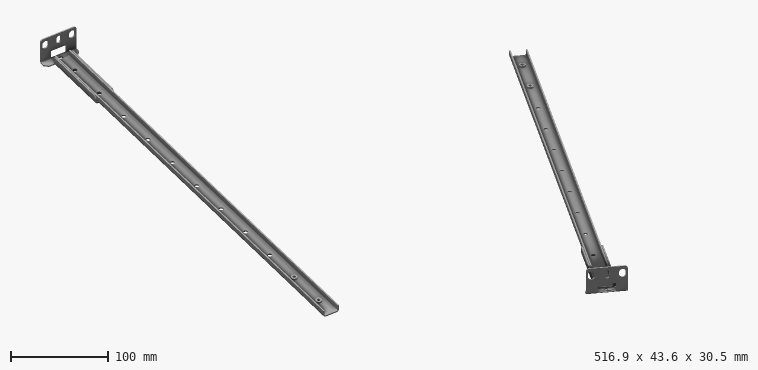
import cadquery as cq

rail_length = 508.0
rail_width = 19.05
rail_height = 8.3
rail_thickness = 1.524
rail_bend_radius = 3.048
rail_end_gap = 8.86

hole_diameter = 4.78
hole_pitch = 46.05
hole_count = 11
nut_count = 2

nut_head_diameter = 7.11
nut_head_height = 2.0
nut_bore = 3.5

sheet_thickness = 1.5
bracket_bend_radius = 3.048
plate_width = 43.64
plate_height = 30.48
plate_corner_radius = 3.2
flange_depth = 10.6
flange_corner_chamfer = 4.2
cradle_clearance = 0.4
cradle_end = 88.6
cradle_wall_start = 11.1
cradle_wall_chamfer = 2.5
flange_hole_x = 6.35

slot_length = 9.4
slot_z = 22.4
side_slot_width = 7.11
side_slot_y = 16.3
window_top = 11.2
window_bottom = 1.9

rail_bottom = sheet_thickness
rail_floor = rail_bottom + rail_thickness
hole_end_distance = (rail_length - (hole_count - 1) * hole_pitch) / 2
rail_top = rail_bottom + rail_height
cradle_width = rail_width + 2 * (sheet_thickness + cradle_clearance)
hole_x = [rail_end_gap + hole_end_distance + i * hole_pitch for i in range(hole_count)]
nut_x = hole_x[-nut_count:]


def channel(x_start, x_end, width, bottom, height, thickness, bend_radius):
    """U channel along X, open upwards, with both lower edges bent round."""
    length = x_end - x_start
    middle = (x_start + x_end) / 2
    outside = (
        cq.Workplane("XY", origin=(middle, 0, bottom))
        .box(length, width, height, centered=(True, True, False))
        .edges("|X and <Z")
        .fillet(bend_radius)
    )
    inside = (
        cq.Workplane("XY", origin=(middle, 0, bottom + thickness))
        .box(length, width - 2 * thickness, height, centered=(True, True, False))
        .edges("|X and <Z")
        .fillet(bend_radius - thickness)
    )
    return outside.cut(inside)


def upright_cylinder(x, bottom, diameter, height):
    """Round pin on the middle line of the rail, used as a solid or as a hole cutter."""
    return cq.Workplane("XY", origin=(x, 0, bottom)).circle(diameter / 2).extrude(height)


def make_rail():
    """Channel with a row of holes along its floor."""
    rail = channel(
        rail_end_gap,
        rail_end_gap + rail_length,
        rail_width,
        rail_bottom,
        rail_height,
        rail_thickness,
        rail_bend_radius,
    )
    for x in hole_x:
        rail = rail.cut(upright_cylinder(x, rail_bottom, hole_diameter, rail_thickness))
    return rail


def make_nut(x):
    """Clinch nut: its head rests on the rail floor and its shank fills the rail hole."""
    shank = upright_cylinder(x, rail_bottom, hole_diameter, rail_thickness)
    head = upright_cylinder(x, rail_floor, nut_head_diameter, nut_head_height)
    bore = upright_cylinder(x, rail_bottom, nut_bore, rail_thickness + nut_head_height)
    return shank.union(head).cut(bore)


def make_angle():
    """Upright plate and foot flange: one bent sheet, plate corners rounded and flange corners cut."""
    angle = (
        cq.Workplane("XY")
        .box(flange_depth, plate_width, plate_height, centered=(False, True, False))
        .edges("<X and <Z")
        .fillet(bracket_bend_radius)
    )
    hollow = (
        cq.Workplane("XY", origin=(sheet_thickness, 0, sheet_thickness))
        .box(flange_depth, plate_width, plate_height, centered=(False, True, False))
        .edges("<X and <Z")
        .fillet(bracket_bend_radius - sheet_thickness)
    )
    angle = angle.cut(hollow)
    angle = angle.edges("|X and >Z").fillet(plate_corner_radius)
    return angle.edges("|Z and >X").chamfer(flange_corner_chamfer)


def make_cradle():
    """Channel under the rail; its walls start beyond the flange and have a trimmed top corner."""
    cradle = channel(
        flange_depth, cradle_end, cradle_width, 0, rail_top, sheet_thickness, bracket_bend_radius
    )
    wall_relief = cq.Workplane("XY", origin=(flange_depth, 0, sheet_thickness)).box(
        cradle_wall_start - flange_depth, cradle_width, rail_top, centered=(False, True, False)
    )
    return cradle.cut(wall_relief).edges("|Y and >X and >Z").chamfer(cradle_wall_chamfer)


def plate_slot(y, width):
    """Cutter for an upright slot through the plate."""
    outline = cq.Workplane("YZ", origin=(0, y, slot_z)).slot2D(slot_length, width, 90)
    return outline.extrude(sheet_thickness)


def make_bracket():
    """One sheet part: slotted and windowed plate, flange and cradle with holes under the rail."""
    bracket = make_angle().union(make_cradle())
    bracket = bracket.cut(plate_slot(0, hole_diameter))
    for y in (-side_slot_y, side_slot_y):
        bracket = bracket.cut(plate_slot(y, side_slot_width))
    window = cq.Workplane("XY", origin=(0, 0, window_bottom)).box(
        sheet_thickness, rail_width, window_top - window_bottom, centered=(False, True, False)
    )
    bracket = bracket.cut(window)
    cradle_hole_x = [x for x in hole_x if x < cradle_end]
    for x in [flange_hole_x, *cradle_hole_x]:
        bracket = bracket.cut(upright_cylinder(x, 0, hole_diameter, sheet_thickness))
    return bracket


bracket = make_bracket()
rail = make_rail()
nuts = [make_nut(x) for x in nut_x]

result = cq.Compound.makeCompound([bracket.val(), rail.val(), *[nut.val() for nut in nuts]])